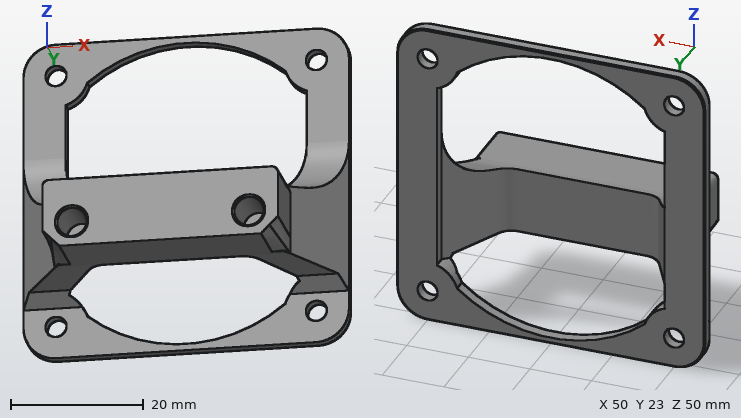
import cadquery as cq
import math

PLATE_SIZE = 50.0
PLATE_THICKNESS = 2.0
PLATE_CORNER_RADIUS = 5.0
BACK_EDGE_CHAMFER = 0.2
SCREW_SPACING = 40.0
SCREW_HOLE_DIAMETER = 3.2
SCREW_BOSS_RADIUS = 5.0
OPENING_RADIUS = 24.0
OPENING_WIDTH = 37.0

BLOCK_OFFSET = 10.95
BLOCK_DEPTH = 10.0
BLOCK_WIDTH = 36.2
BLOCK_TOP = -3.8
BLOCK_HEIGHT = 10.6
BLOCK_TOP_ROUND = 1.0
BLOCK_CORNER_CUT = 2.6
BLIND_HOLE_SPACING = 27.2
BLIND_HOLE_DIAMETER = 4.5
BLIND_HOLE_DEPTH = 8.0
BLIND_HOLE_CHAMFER = 0.3
BLIND_HOLE_Z = -10.6

ARM_TOP_SLOPE = math.radians(14)
ARM_TOP_BLEND_RADIUS = 10.0
ARM_INNER_LEAN = math.radians(30)
ARM_INNER_ROUND = 3.0
ARM_ROOT_UNDERSIDE = -15.1
ARM_FOOT = 2.0

BLOCK_BOTTOM = BLOCK_TOP - BLOCK_HEIGHT
BLOCK_FRONT = BLOCK_OFFSET + BLOCK_DEPTH
SCREW_POINTS = [(sx * SCREW_SPACING / 2, sz * SCREW_SPACING / 2) for sx in (-1, 1) for sz in (-1, 1)]


def back_sketch():
    """Sketch on the back face of the plate, extruding forwards (towards -Y)."""
    return cq.Workplane("XZ", origin=(0, PLATE_THICKNESS, 0))


def screw_cylinders(radius, length):
    return back_sketch().pushPoints(SCREW_POINTS).circle(radius).extrude(length)


def plate():
    """Rounded square plate with a flat-sided round opening that keeps a boss round each screw hole."""
    body = back_sketch().rect(PLATE_SIZE, PLATE_SIZE).extrude(PLATE_THICKNESS)
    body = body.edges("|Y").fillet(PLATE_CORNER_RADIUS)
    body = body.faces(">Y").edges().chamfer(BACK_EDGE_CHAMFER)
    opening = back_sketch().circle(OPENING_RADIUS).extrude(PLATE_THICKNESS)
    flat_sides = back_sketch().rect(OPENING_WIDTH, PLATE_SIZE).extrude(PLATE_THICKNESS)
    opening = opening.intersect(flat_sides).cut(screw_cylinders(SCREW_BOSS_RADIUS, PLATE_THICKNESS))
    return body.cut(opening)


def arm_side_shape():
    """Side outline of the arms, full plate width: concave top blends and a footed, sloping underside."""
    slope = math.tan(ARM_TOP_SLOPE)
    radius = ARM_TOP_BLEND_RADIUS
    root_half_turn = (math.pi / 2 - ARM_TOP_SLOPE) / 2
    front_half_turn = ARM_TOP_SLOPE / 2
    root_z = BLOCK_TOP + BLOCK_OFFSET * slope
    root_tangent = radius * math.tan(root_half_turn)
    front_tangent = radius * math.tan(front_half_turn)

    root_start = (0, root_z + root_tangent)
    root_end_y = root_tangent * math.cos(ARM_TOP_SLOPE)
    root_end = (-root_end_y, root_z - root_end_y * slope)
    flat_end_y = BLOCK_OFFSET - front_tangent * math.cos(ARM_TOP_SLOPE)
    flat_end = (-flat_end_y, root_z - flat_end_y * slope)
    front_end = (-BLOCK_OFFSET - front_tangent, BLOCK_TOP)

    root_middle = (
        -radius + radius * math.cos(root_half_turn),
        root_start[1] - radius * math.sin(root_half_turn),
    )
    front_middle = (
        front_end[0] + radius * math.sin(front_half_turn),
        BLOCK_TOP + radius * (1 - math.cos(front_half_turn)),
    )
    underside_slope = (BLOCK_BOTTOM - ARM_ROOT_UNDERSIDE) / BLOCK_OFFSET
    return (
        cq.Workplane("YZ", origin=(-PLATE_SIZE / 2, 0, 0))
        .moveTo(*root_start)
        .threePointArc(root_middle, root_end)
        .lineTo(*flat_end)
        .threePointArc(front_middle, front_end)
        .lineTo(front_end[0], BLOCK_BOTTOM)
        .lineTo(-BLOCK_OFFSET, BLOCK_BOTTOM)
        .lineTo(-ARM_FOOT, ARM_ROOT_UNDERSIDE + ARM_FOOT * underside_slope)
        .lineTo(0, ARM_ROOT_UNDERSIDE - ARM_FOOT)
        .close()
        .extrude(PLATE_SIZE)
    )


def tapered_prism(half_width_at_plate, taper, depth):
    """Full-height prism narrowing forwards; taper is the sideways step per unit of depth."""
    half_width_at_front = half_width_at_plate - depth * taper
    return (
        cq.Workplane("XY", origin=(0, 0, -PLATE_SIZE / 2))
        .moveTo(-half_width_at_plate, 0)
        .lineTo(half_width_at_plate, 0)
        .lineTo(half_width_at_front, -depth)
        .lineTo(-half_width_at_front, -depth)
        .close()
        .extrude(PLATE_SIZE)
    )


def arms():
    """Two inward-leaning arms, with the lower screw bosses carried forward into their feet."""
    gap = tapered_prism(OPENING_WIDTH / 2, math.tan(ARM_INNER_LEAN), BLOCK_OFFSET)
    gap = gap.edges("|Z and <Y").fillet(ARM_INNER_ROUND)
    outer_taper = (PLATE_SIZE - BLOCK_WIDTH) / 2 / BLOCK_OFFSET
    footprint = tapered_prism(PLATE_SIZE / 2, outer_taper, BLOCK_FRONT).cut(gap)
    bosses = screw_cylinders(SCREW_BOSS_RADIUS, PLATE_THICKNESS + ARM_FOOT)
    return arm_side_shape().intersect(footprint.union(bosses))


def block_section(distance, corner_inset):
    """Block outline; corner_inset pulls each lower corner point in, both ways."""
    side = BLOCK_WIDTH / 2
    cut_z = BLOCK_BOTTOM + BLOCK_CORNER_CUT
    return cq.Wire.makePolygon(
        [
            cq.Vector(x, -distance, z)
            for x, z in (
                (-side, BLOCK_TOP),
                (side, BLOCK_TOP),
                (side, cut_z),
                (side - corner_inset, BLOCK_BOTTOM + corner_inset),
                (side - BLOCK_CORNER_CUT, BLOCK_BOTTOM),
                (BLOCK_CORNER_CUT - side, BLOCK_BOTTOM),
                (corner_inset - side, BLOCK_BOTTOM + corner_inset),
                (-side, cut_z),
            )
        ],
        close=True,
    )


def block():
    """Block whose lower corners run from square at the back to a 45 degree cut at the front."""
    back = block_section(BLOCK_OFFSET, 0)
    front = block_section(BLOCK_FRONT, BLOCK_CORNER_CUT / 2)
    body = cq.Workplane(obj=cq.Solid.makeLoft([back, front], True))
    return body.faces(">Z").edges("<X or >X").fillet(BLOCK_TOP_ROUND)


def blind_holes():
    """Blind holes from the front of the block, each with a chamfered mouth."""
    radius = BLIND_HOLE_DIAMETER / 2
    mouth_radius = radius + BLIND_HOLE_CHAMFER
    hole = (
        cq.Workplane("XY")
        .lineTo(mouth_radius, 0)
        .lineTo(radius, BLIND_HOLE_CHAMFER)
        .lineTo(radius, BLIND_HOLE_DEPTH)
        .lineTo(0, BLIND_HOLE_DEPTH)
        .close()
        .revolve(360, (0, 0, 0), (0, 1, 0))
        .translate((0, -BLOCK_FRONT, BLIND_HOLE_Z))
    )
    half_spacing = BLIND_HOLE_SPACING / 2
    return hole.translate((-half_spacing, 0, 0)).union(hole.translate((half_spacing, 0, 0)))


result = (
    plate()
    .union(arms())
    .union(block())
    .cut(blind_holes())
    .cut(screw_cylinders(SCREW_HOLE_DIAMETER / 2, PLATE_THICKNESS))
)